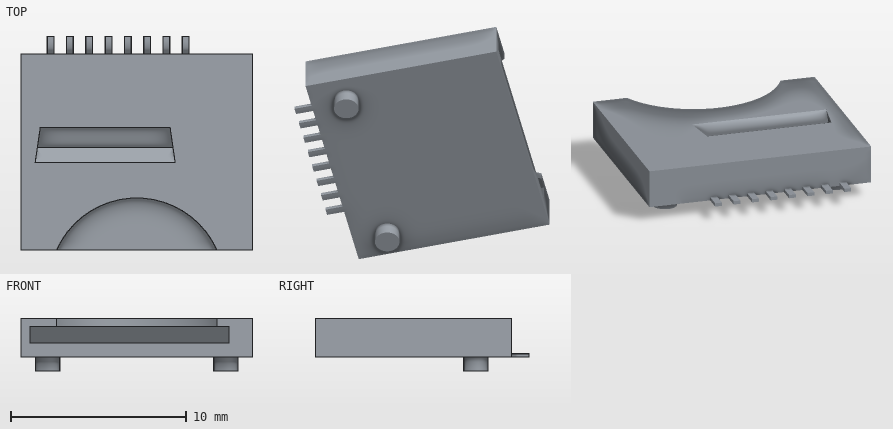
import cadquery as cq
import math


housing_width = 13.21
housing_depth = 11.18
housing_height = 2.2

roof_thickness = 0.47
floor_thickness = 0.79
slot_left_wall = 0.52
slot_right_wall = 1.35
slot_back_wall = slot_right_wall
slot_width = housing_width - slot_left_wall - slot_right_wall
slot_depth = housing_depth - slot_back_wall
slot_height = housing_height - floor_thickness - roof_thickness
roof_bottom = housing_height - roof_thickness

finger_radius = 5.0
finger_depth = 2.97

window_center_x = -1.8
window_front_y = 5.0
window_length = 2.0
window_ramp_length = 0.84
window_front_width = 7.98
window_back_width = 7.4

peg_diameter = 1.4
peg_length = 0.8
peg_spacing = 10.16
peg_back_distance = 2.03

contact_count = 8
contact_pitch = 1.1
contact_width = 0.4
contact_thickness = 0.2
contact_length = 1.0
first_contact_x = -4.91


def make_slot():
    """Rectangular pocket for the card."""
    return (
        cq.Workplane("XY")
        .box(slot_width, slot_depth, slot_height, centered=False)
        .translate((slot_left_wall - housing_width / 2, 0, floor_thickness))
    )


def make_finger_cutout():
    """Circular segment behind the front face, as deep as the roof."""
    center_y = finger_depth - finger_radius
    half_chord = math.sqrt(finger_radius**2 - center_y**2)
    return (
        cq.Workplane("XY", origin=(0, 0, roof_bottom))
        .moveTo(-half_chord, 0)
        .threePointArc((0, finger_depth), (half_chord, 0))
        .close()
        .extrude(roof_thickness)
    )


def make_window():
    """Trapezoid through the roof, less the wedge that forms the ramp at its front."""
    window_back_y = window_front_y + window_length
    ramp_foot_y = window_front_y + window_ramp_length
    half_front = window_front_width / 2
    half_back = window_back_width / 2
    trapezoid = (
        cq.Workplane("XY", origin=(window_center_x, 0, roof_bottom))
        .polyline([
            (-half_front, window_front_y),
            (half_front, window_front_y),
            (half_back, window_back_y),
            (-half_back, window_back_y),
        ])
        .close()
        .extrude(roof_thickness)
    )
    side_profile = (
        cq.Workplane("YZ", origin=(window_center_x, 0, 0))
        .polyline([
            (window_front_y, housing_height),
            (window_back_y, housing_height),
            (window_back_y, roof_bottom),
            (ramp_foot_y, roof_bottom),
        ])
        .close()
        .extrude(half_front, both=True)
    )
    return trapezoid.intersect(side_profile)


def make_pegs():
    """Two round pegs, reaching down from the underside."""
    peg_y = housing_depth - peg_back_distance
    return (
        cq.Workplane("XY")
        .pushPoints([(-peg_spacing / 2, peg_y), (peg_spacing / 2, peg_y)])
        .circle(peg_diameter / 2)
        .extrude(-peg_length)
    )


def make_housing():
    block = cq.Workplane("XY").box(
        housing_width, housing_depth, housing_height, centered=(True, False, False)
    )
    return (
        block.cut(make_slot())
        .cut(make_finger_cutout())
        .cut(make_window())
        .union(make_pegs())
    )


def make_contact(center_x):
    """Flat tail resting against the back face, flush with the underside."""
    return (
        cq.Workplane("XY")
        .box(contact_width, contact_length, contact_thickness, centered=(True, False, False))
        .translate((center_x, housing_depth, 0))
    )


housing = make_housing()
contacts = [make_contact(first_contact_x + i * contact_pitch) for i in range(contact_count)]

result = cq.Compound.makeCompound([housing.val(), *[contact.val() for contact in contacts]])